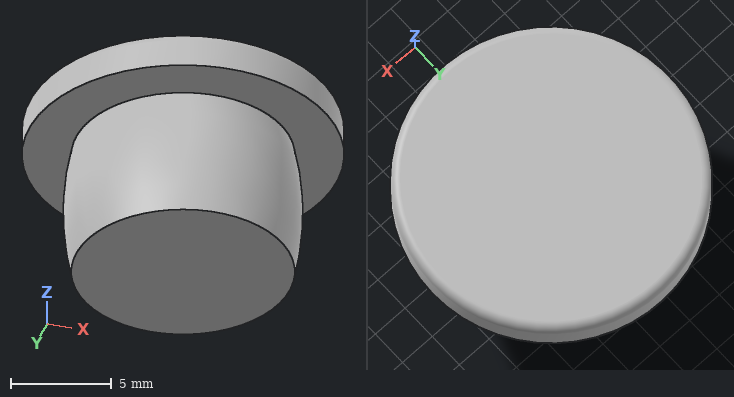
import cadquery as cq

head_diameter = 16.0
head_thickness = 2.0
head_edge_radius = 0.5
total_height = 9.0
plug_end_diameter = 11.1
plug_middle_diameter = 11.9

plug_height = total_height - head_thickness


def make_plug():
    """Barrel-shaped plug: a bulging arc revolved about the Z axis."""
    end_radius = plug_end_diameter / 2
    middle_radius = plug_middle_diameter / 2
    profile = (
        cq.Workplane("XZ")
        .lineTo(end_radius, 0)
        .threePointArc((middle_radius, plug_height / 2), (end_radius, plug_height))
        .lineTo(0, plug_height)
        .close()
    )
    return profile.revolve(360, (0, 0, 0), (0, 1, 0))


def make_head():
    """Round head with a rounded upper rim."""
    disc = cq.Workplane("XY").workplane(offset=plug_height).circle(head_diameter / 2).extrude(head_thickness)
    return disc.faces(">Z").edges().fillet(head_edge_radius)


result = make_plug().union(make_head())